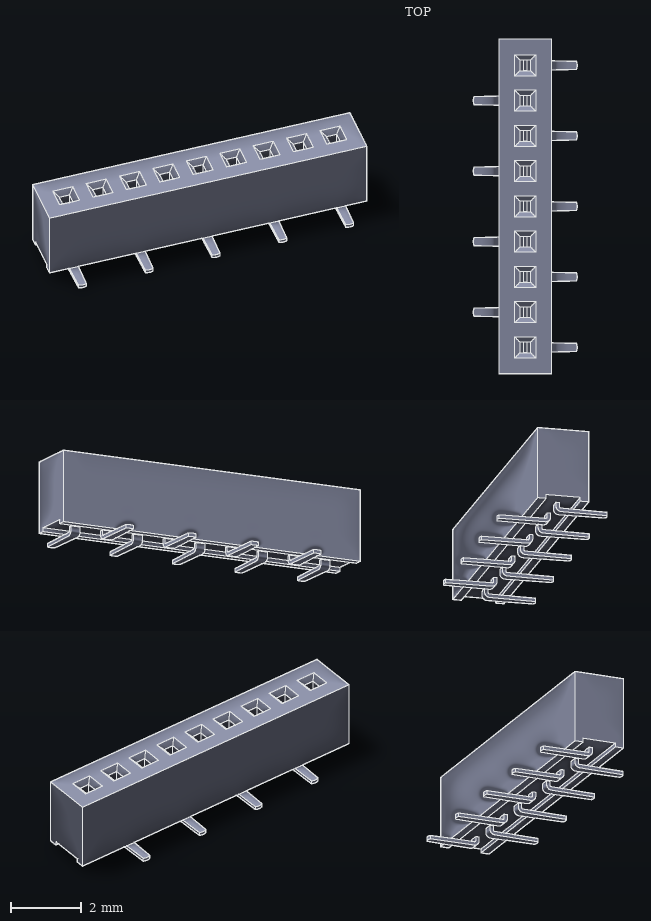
import cadquery as cq

housing_width = 1.5
housing_length = 9.5
total_height = 2.25
standoff = 0.15
housing_height = total_height - standoff
channel_width = 1.0
channel_height = 0.11

contact_count = 9
end_margin = 0.75
pitch = (housing_length - 2 * end_margin) / (contact_count - 1)

socket_size = 0.3
socket_mouth = 0.6
lead_in_depth = (socket_mouth - socket_size) / 2
socket_depth = 1.5

strip_width = 0.29
strip_thickness = 0.1
bend_outer_radius = 0.15
bend_inner_radius = 0.04
tail_span = 2.95
tail_reach = tail_span / 2
tail_tip_width = 0.24
tip_bulge = 0.03
stem_rise = 0.1

socket_floor = total_height - socket_depth
stem_top = socket_floor + stem_rise
tail_start = bend_outer_radius - strip_thickness / 2


def make_housing():
    """Plain block with a channel along the underside."""
    block = cq.Workplane("XY").box(
        housing_width, housing_length, housing_height, centered=(True, True, False)
    )
    channel = cq.Workplane("XY").box(
        channel_width, housing_length, channel_height, centered=(True, True, False)
    )
    return block.cut(channel).translate((0, 0, standoff))


def make_socket(y):
    """Cutter for one socket: tapered mouth above a straight square hole."""
    mouth = (
        cq.Workplane("XY", origin=(0, y, total_height))
        .rect(socket_mouth, socket_mouth)
        .workplane(offset=-lead_in_depth)
        .rect(socket_size, socket_size)
        .loft(ruled=True)
    )
    hole = (
        cq.Workplane("XY", origin=(0, y, socket_floor))
        .rect(socket_size, socket_size)
        .extrude(socket_depth - lead_in_depth)
    )
    return mouth.union(hole)


def make_bent_strip():
    """Stem, bend and tail at constant width, with the tail along +X."""
    half_thickness = strip_thickness / 2
    return (
        cq.Workplane("XZ")
        .moveTo(-half_thickness, stem_top)
        .lineTo(-half_thickness, bend_outer_radius)
        .radiusArc((tail_start, 0), -bend_outer_radius)
        .lineTo(tail_reach, 0)
        .lineTo(tail_reach, strip_thickness)
        .lineTo(half_thickness + bend_inner_radius, strip_thickness)
        .radiusArc((half_thickness, strip_thickness + bend_inner_radius), bend_inner_radius)
        .lineTo(half_thickness, stem_top)
        .close()
        .extrude(strip_width / 2, both=True)
    )


def make_plan_outline():
    """Prism over the contact seen from above: full width at the bend, taper, rounded tip."""
    half_strip = strip_width / 2
    half_tip = tail_tip_width / 2
    tip_start = tail_reach - tip_bulge
    return (
        cq.Workplane("XY")
        .moveTo(-strip_thickness, -half_strip)
        .lineTo(tail_start, -half_strip)
        .lineTo(tip_start, -half_tip)
        .threePointArc((tail_reach, 0), (tip_start, half_tip))
        .lineTo(tail_start, half_strip)
        .lineTo(-strip_thickness, half_strip)
        .close()
        .extrude(total_height)
    )


def make_contact(y, side):
    """Contact whose tail points along +X (side = 1) or -X (side = -1)."""
    contact = make_bent_strip().intersect(make_plan_outline())
    if side < 0:
        contact = contact.mirror("YZ")
    return contact.translate((0, y, 0))


result = make_housing()
for index in range(contact_count):
    contact_y = index * pitch + end_margin - housing_length / 2
    tail_side = 1 if index % 2 == 0 else -1
    result = result.cut(make_socket(contact_y))
    result = result.union(make_contact(contact_y, tail_side))